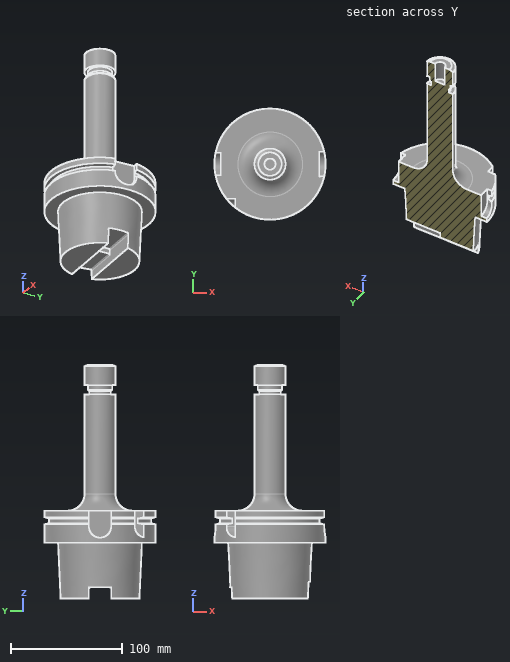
import cadquery as cq


shank_length = 50.0
shank_radius_top = 37.75
shank_radius_bottom = 35.5

flange_radius = 50.0
flange_height = 29.0
groove_floor_radius = 46.0
groove_bottom = 16.5
groove_top = 23.0
groove_wall_rise = 1.2

neck_radius = 14.0
neck_blend_radius = 15.0
neck_top = 133.2

nose_radius = 9.75
nose_top = 136.2
collar_radius = 11.0
collar_chamfer = collar_radius - nose_radius
nut_bottom = 141.5
nut_radius = 14.0
nut_face_radius = 10.5
nut_chamfer_height = 1.5
nut_top = 160.0
bore_diameter = 10.0
bore_depth = 2 * bore_diameter

keyway_bottom = 4.7
keyway_floor_distance = 44.0
left_keyway_width = 20.0
right_keyway_width = 22.0
notch_corner = 31.25

drive_slot_width = 20.0
left_slot_depth = 10.0
right_slot_depth = 15.0
slot_corner_radius = 1.0


def turned_body():
    """Revolve the complete outer profile about Z."""
    blend_top = flange_height + neck_blend_radius
    blend_outer = neck_radius + neck_blend_radius
    return (
        cq.Workplane("YZ")
        .moveTo(0, -shank_length)
        .lineTo(shank_radius_bottom, -shank_length)
        .lineTo(shank_radius_top, 0)
        .lineTo(flange_radius, 0)
        .lineTo(flange_radius, groove_bottom)
        .lineTo(groove_floor_radius, groove_bottom + groove_wall_rise)
        .lineTo(groove_floor_radius, groove_top - groove_wall_rise)
        .lineTo(flange_radius, groove_top)
        .lineTo(flange_radius, flange_height)
        .lineTo(blend_outer, flange_height)
        .radiusArc((neck_radius, blend_top), neck_blend_radius)
        .lineTo(neck_radius, neck_top)
        .lineTo(nose_radius, neck_top)
        .lineTo(nose_radius, nose_top)
        .lineTo(collar_radius, nose_top + collar_chamfer)
        .lineTo(collar_radius, nut_bottom)
        .lineTo(nut_radius, nut_bottom)
        .lineTo(nut_radius, nut_top - nut_chamfer_height)
        .lineTo(nut_face_radius, nut_top)
        .lineTo(0, nut_top)
        .close()
        .revolve(360, (0, 0, 0), (0, 1, 0))
    )


def keyway_cutter(width, centre_y, floor_x):
    """Round-bottomed slot running along X, from floor_x out past the flange rim on the same side."""
    round_radius = width / 2
    round_centre_z = keyway_bottom + round_radius
    outward = 1 if floor_x > 0 else -1
    return (
        cq.Workplane("YZ", origin=(floor_x, centre_y, 0))
        .moveTo(-round_radius, flange_height)
        .lineTo(-round_radius, round_centre_z)
        .threePointArc((0, keyway_bottom), (round_radius, round_centre_z))
        .lineTo(round_radius, flange_height)
        .close()
        .extrude(outward * flange_radius)
    )


def drive_slot_cutter(depth, outward):
    """Half-length slot from the axis through one side of the shank's small end."""
    return (
        cq.Workplane("XY", origin=(0, 0, -shank_length))
        .box(flange_radius, drive_slot_width, depth, centered=(False, True, False))
        .edges("|X and >Z")
        .fillet(slot_corner_radius)
        .rotate((0, 0, 0), (0, 0, 1), 0 if outward > 0 else 180)
    )


def collet_bore():
    return (
        cq.Workplane("XY", origin=(0, 0, nut_top - bore_depth))
        .circle(bore_diameter / 2)
        .extrude(bore_depth)
    )


notch_centre_y = -(notch_corner + left_keyway_width / 2)

result = (
    turned_body()
    .cut(collet_bore())
    .cut(keyway_cutter(left_keyway_width, 0, -keyway_floor_distance))
    .cut(keyway_cutter(right_keyway_width, 0, keyway_floor_distance))
    .cut(keyway_cutter(left_keyway_width, notch_centre_y, -notch_corner))
    .cut(drive_slot_cutter(left_slot_depth, -1))
    .cut(drive_slot_cutter(right_slot_depth, 1))
)